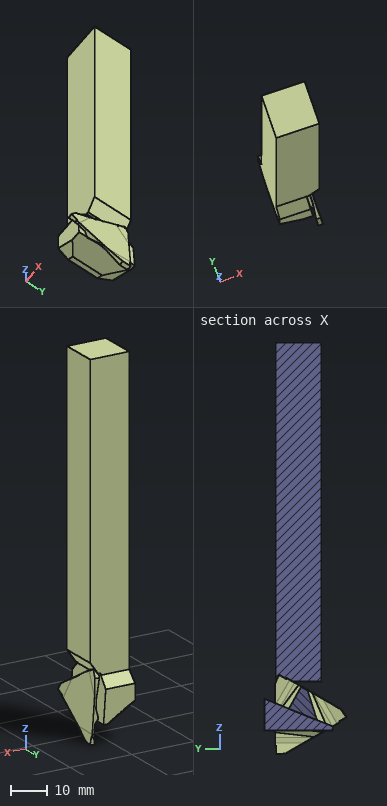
import cadquery as cq
import math

total_length = 114.4
shank_size = 12.7
half_shank = shank_size / 2

head_half_width = 9.5
head_bottom = 6.6
shoulder_top = 20.3
shoulder_bottom = shoulder_top - (head_half_width - half_shank)
relief_top = 24.5
relief_foot_x = 9.7

bevel_floor = 8.0
bevel_half_width_back = 4.1
bevel_half_width_front = 6.1
bevel_rise_back = 4.0
bevel_rise_front = 2.6
bevel_drop = 0.6
bevel_cut_depth = 5.7

tip_count = 3
insert_tilt = 4.3
tilt_axis_angle = 22
tip_step = 360 / tip_count
insert_x = 11.4
insert_y = -0.6
insert_z = 10.9
triangle_side = 24.6
tip_cut = 1.5
flank_rise = 0.2
rake_setback = 0.29
rake_length = 2.3
body_thickness = 0.74
neck_thickness = 0.63
front_flare = 0.29
back_flare = 0.6
flare_length = 3.2
ramp_end = 4.7
boss_inradius = 5.5
boss_turn = 6.6
boss_taper = 60
seat_depth = 1.7
seat_cut_size = 34.3

inradius = triangle_side / (2 * math.sqrt(3))
flank_length = (tip_cut + flank_rise) * math.tan(math.radians(60))
tip_level = -triangle_side / 2 + tip_cut


def tilt_in_place(shape):
    """Tilt a shape so its lower +Y tip leans to +X, then move it to the insert centre."""
    angle = math.radians(tilt_axis_angle)
    axis = (0, math.cos(angle), math.sin(angle))
    return shape.rotate((0, 0, 0), axis, -insert_tilt).translate((insert_x, insert_y, insert_z))


def turned(point, angle):
    """Turn a (y, z) point about the X axis by an angle in degrees."""
    a = math.radians(angle)
    y, z = point
    return (y * math.cos(a) - z * math.sin(a), y * math.sin(a) + z * math.cos(a))


def insert_plate(back, front):
    """Plate with the outline of the insert, centred on the X axis."""
    rake_face = inradius - rake_setback
    tip = [
        (inradius - flank_length, tip_level + flank_rise),
        (rake_face, tip_level),
        (rake_face, tip_level + rake_length),
        (inradius, tip_level + rake_length),
    ]
    outline = [turned(p, i * tip_step) for i in range(tip_count) for p in tip]
    return cq.Workplane("YZ", origin=(back, 0, 0)).polyline(outline).close().extrude(front - back)


def tip_profile(points):
    """Prism along Y from (x, distance above the tip) points at the lower tip."""
    outline = [(x, tip_level + rise) for x, rise in points]
    return cq.Workplane("XZ").polyline(outline).close().extrude(triangle_side, both=True)


def seat_boss():
    """Tapered triangular boss that rests on the seat, trimmed by the insert outline."""
    corners = [turned((0, 2 * boss_inradius), boss_turn + i * tip_step) for i in range(tip_count)]
    triangle = cq.Workplane("YZ", origin=(-body_thickness, 0, 0)).polyline(corners).close()
    boss = triangle.extrude(body_thickness - seat_depth, taper=boss_taper)
    return boss.intersect(insert_plate(-seat_depth, -body_thickness))


def tip_flares():
    """Wedges that widen the lower tip toward its cutting edge, in front and at the back."""
    tip_back = -neck_thickness - back_flare
    front_wedge = tip_profile([(0, 0), (front_flare, 0), (0, flare_length)])
    back_wedge = tip_profile([(-neck_thickness, 0), (tip_back, 0), (-neck_thickness, flare_length)])
    front = insert_plate(0, front_flare).intersect(front_wedge)
    back = insert_plate(tip_back, -neck_thickness).intersect(back_wedge)
    return [front, back]


def make_insert():
    body = insert_plate(-body_thickness, 0)
    neck_relief = tip_profile([
        (-neck_thickness, 0),
        (-neck_thickness, flare_length),
        (-body_thickness, ramp_end),
        (-body_thickness, 0),
    ])
    flares = tip_flares()
    for i in range(tip_count):
        turn = ((0, 0, 0), (1, 0, 0), i * tip_step)
        body = body.cut(neck_relief.rotate(*turn))
        for flare in flares:
            body = body.union(flare.rotate(*turn))
    return tilt_in_place(body.union(seat_boss()))


def holder_blank():
    outline = [
        (-half_shank, total_length),
        (-half_shank, shoulder_top),
        (-head_half_width, shoulder_bottom),
        (-head_half_width, head_bottom),
        (head_half_width, head_bottom),
        (head_half_width, shoulder_bottom),
        (half_shank, shoulder_top),
        (half_shank, total_length),
    ]
    return cq.Workplane("YZ").polyline(outline).close().extrude(shank_size)


def shank_relief():
    outline = [
        (shank_size, relief_top),
        (relief_foot_x, shoulder_top),
        (shank_size, shoulder_top),
    ]
    return cq.Workplane("XZ").polyline(outline).close().extrude(head_half_width, both=True)


def end_bevels():
    """Prism below the bevel outline, slanting down toward +X."""
    outline = [
        (-head_half_width, bevel_floor + bevel_rise_front),
        (-bevel_half_width_front, bevel_floor),
        (bevel_half_width_back, bevel_floor),
        (head_half_width, bevel_floor + bevel_rise_back),
        (head_half_width, -bevel_cut_depth),
        (-head_half_width, -bevel_cut_depth),
    ]
    face = cq.Face.makeFromWires(cq.Wire.makePolygon([cq.Vector(0, y, z) for y, z in outline], close=True))
    slant = cq.Vector(shank_size, 0, -bevel_drop * shank_size)
    return cq.Workplane(cq.Solid.extrudeLinear(face, slant))


def insert_seat():
    """Tilted seat that opens the whole +X side of the head below the shoulders."""
    half_space = cq.Workplane("XY").box(
        seat_cut_size, 2 * seat_cut_size, 2 * seat_cut_size, centered=(False, True, True)
    ).translate((-seat_depth, 0, 0))
    below_shoulders = cq.Workplane("XY").box(
        seat_cut_size, seat_cut_size, shoulder_top, centered=(False, True, False)
    )
    return tilt_in_place(half_space).intersect(below_shoulders)


def tip_pocket():
    """Room for the upper tip where it reaches into the shank."""
    return tilt_in_place(insert_plate(-seat_depth, shank_size))


holder = holder_blank().cut(shank_relief()).cut(end_bevels()).cut(insert_seat()).cut(tip_pocket())
insert = make_insert()

result = cq.Compound.makeCompound([holder.solids().val(), insert.solids().val()])